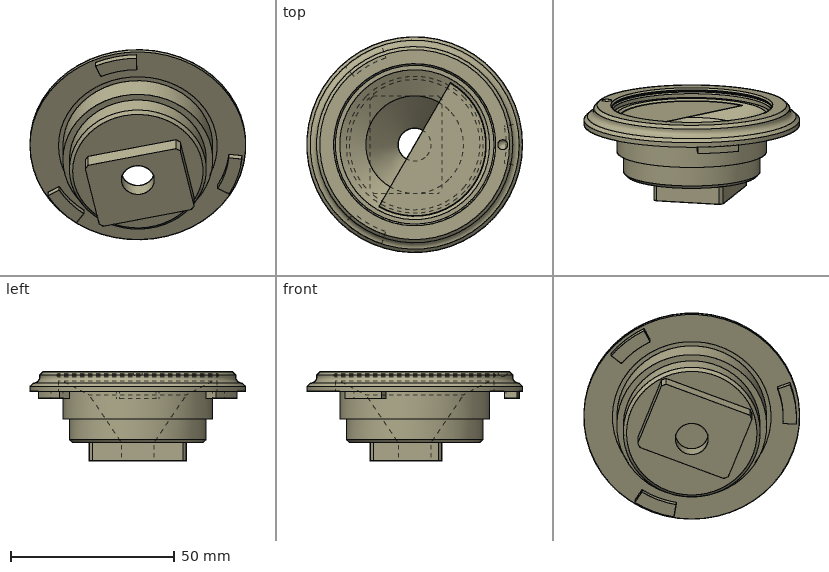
import cadquery as cq
import math

total_height = 27.25
flange_bottom = -6.0
tab_bottom = -8.2
cup_shoulder = -14.5
cup_bottom = -21.7
block_bottom = -total_height

flange_radius = 33.0
flange_bevel = 1.05
flange_bevel_bottom = -4.55
rim_radius = 60.0 / 2
rim_chamfer = 1.0
cove_top = -1.6
bore_radius = 48.5 / 2
bore_chamfer = 0.5
snap_groove_top = -0.5
snap_groove_bottom = -1.7
snap_groove_depth = 0.43
dimple_radius = 1.5
dimple_distance = 26.9

tab_count = 3
tab_inner_radius = 28.0
tab_outer_radius = 32.0
tab_half_angle = 11.6

cup_top = -2.9
cup_radius = 22.9
cup_lower_radius = 20.9
cup_chamfer = 1.0
funnel_knee_radius = 14.9
funnel_knee_level = -7.1
outlet_radius = 5.0

cover_top = -3.4
cover_thickness = 0.1
cover_edge_angle = 60.0

block_x_min = -13.6
block_x_max = 8.3
block_width = 29.7
block_corner_chamfer = 1.05


def polar(radius, degrees):
    angle = math.radians(degrees)
    return (radius * math.cos(angle), radius * math.sin(angle))


def revolve(profile):
    """Turn an XZ profile around the Z axis."""
    return profile.close().revolve(360, (0, 0, 0), (0, 1, 0))


def make_tab(angle):
    """Ring sector hanging under the flange, centred on the given angle."""
    start = angle - tab_half_angle
    end = angle + tab_half_angle
    return (
        cq.Workplane("XY")
        .workplane(offset=tab_bottom)
        .moveTo(*polar(tab_inner_radius, start))
        .lineTo(*polar(tab_outer_radius, start))
        .threePointArc(polar(tab_outer_radius, angle), polar(tab_outer_radius, end))
        .lineTo(*polar(tab_inner_radius, end))
        .threePointArc(polar(tab_inner_radius, angle), polar(tab_inner_radius, start))
        .close()
        .extrude(flange_bottom - tab_bottom)
    )


def make_ring():
    cove_outer_radius = flange_radius - flange_bevel
    cove_radius = cove_outer_radius - rim_radius
    cove_bottom = cove_top - cove_radius
    cove_middle = (
        cove_outer_radius - cove_radius * math.cos(math.radians(45)),
        cove_top - cove_radius * math.sin(math.radians(45)),
    )
    ring = revolve(
        cq.Workplane("XZ")
        .moveTo(bore_radius, flange_bottom)
        .lineTo(flange_radius, flange_bottom)
        .lineTo(flange_radius, flange_bevel_bottom)
        .lineTo(cove_outer_radius, cove_bottom)
        .threePointArc(cove_middle, (rim_radius, cove_top))
        .lineTo(rim_radius, -rim_chamfer)
        .lineTo(rim_radius - rim_chamfer, 0)
        .lineTo(bore_radius + bore_chamfer, 0)
        .lineTo(bore_radius, -bore_chamfer)
    )

    groove_radius = bore_radius + snap_groove_depth
    snap_groove = revolve(
        cq.Workplane("XZ")
        .moveTo(bore_radius, snap_groove_top)
        .lineTo(groove_radius, snap_groove_top - snap_groove_depth)
        .lineTo(groove_radius, snap_groove_bottom + snap_groove_depth)
        .lineTo(bore_radius, snap_groove_bottom)
    )
    ring = ring.cut(snap_groove)

    dimple = cq.Workplane("XY").center(dimple_distance, 0).sphere(dimple_radius)
    ring = ring.cut(dimple)

    for index in range(tab_count):
        ring = ring.union(make_tab(index * 360 / tab_count))
    return ring


def make_funnel_cavity():
    """Two-stage conical space inside the cup."""
    return revolve(
        cq.Workplane("XZ")
        .moveTo(0, cup_top)
        .lineTo(cup_radius, cup_top)
        .lineTo(funnel_knee_radius, funnel_knee_level)
        .lineTo(outlet_radius, cup_bottom)
        .lineTo(0, cup_bottom)
    )


def make_cup():
    outside = revolve(
        cq.Workplane("XZ")
        .moveTo(0, cup_top)
        .lineTo(bore_radius, cup_top)
        .lineTo(bore_radius, flange_bottom)
        .lineTo(cup_radius, flange_bottom)
        .lineTo(cup_radius, cup_shoulder)
        .lineTo(cup_lower_radius, cup_shoulder)
        .lineTo(cup_lower_radius, cup_bottom + cup_chamfer)
        .lineTo(cup_lower_radius - cup_chamfer, cup_bottom)
        .lineTo(0, cup_bottom)
    )
    return outside.cut(make_funnel_cavity())


def make_cover():
    half_disc = (
        cq.Workplane("XY")
        .workplane(offset=cover_top - cover_thickness)
        .moveTo(*polar(cup_radius, cover_edge_angle))
        .threePointArc(
            polar(cup_radius, cover_edge_angle - 90),
            polar(cup_radius, cover_edge_angle - 180),
        )
        .close()
        .extrude(cover_thickness)
    )
    return half_disc.intersect(make_funnel_cavity())


def make_block():
    block_length = block_x_max - block_x_min
    block = (
        cq.Workplane("XY")
        .workplane(offset=block_bottom)
        .center((block_x_min + block_x_max) / 2, 0)
        .rect(block_length, block_width)
        .extrude(cup_bottom - block_bottom)
        .edges("|Z")
        .chamfer(block_corner_chamfer)
    )
    outlet = (
        cq.Workplane("XY")
        .workplane(offset=block_bottom)
        .circle(outlet_radius)
        .extrude(cup_bottom - block_bottom)
    )
    return block.cut(outlet)


ring = make_ring()
cup = make_cup()
cover = make_cover()
block = make_block()

result = cq.Compound.makeCompound([
    *ring.solids().vals(),
    *cup.solids().vals(),
    *cover.solids().vals(),
    *block.solids().vals(),
])